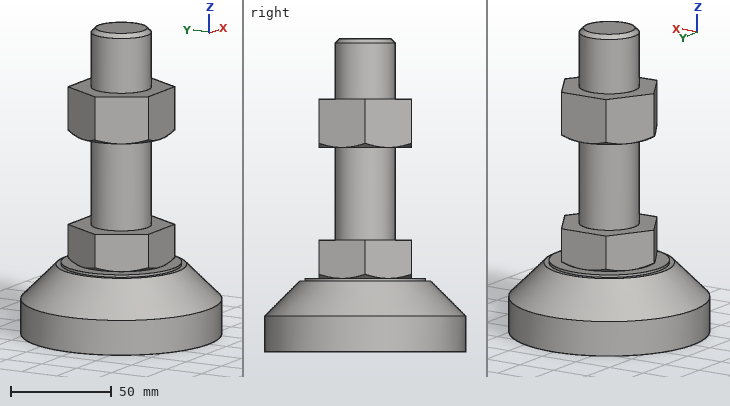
import cadquery as cq
import math


foot_radius = 50.0
foot_height = 35.25
rim_height = 17.75
cone_height = foot_height - rim_height
foot_top_radius = foot_radius - cone_height

collar_radius = 30.0
collar_height = 1.25
collar_top = foot_height + collar_height

width_across_flats = 45.95
width_across_corners = width_across_flats / math.cos(math.radians(30))
hex_chamfer_angle = 30.0
drive_hex_height = 19.0
drive_hex_top = collar_top + drive_hex_height

stud_radius = 15.0
stud_length = 100.0
stud_chamfer = 2.15
stud_top = drive_hex_top + stud_length

nut_height = 24.0
stud_above_nut = 30.0
nut_top = stud_top - stud_above_nut
nut_bottom = nut_top - nut_height


def hexagon(bottom, height):
    """Hexagonal prism with its lower corners turned off by a cone."""
    flat_radius = width_across_flats / 2
    corner_radius = width_across_corners / 2
    chamfer_height = (corner_radius - flat_radius) * math.tan(math.radians(hex_chamfer_angle))
    prism = cq.Workplane("XY").workplane(offset=bottom).polygon(6, width_across_corners).extrude(height)
    envelope = (
        cq.Workplane("XZ")
        .moveTo(0, bottom)
        .lineTo(flat_radius, bottom)
        .lineTo(corner_radius, bottom + chamfer_height)
        .lineTo(corner_radius, bottom + height)
        .lineTo(0, bottom + height)
        .close()
        .revolve(360, (0, 0, 0), (0, 1, 0))
    )
    return prism.intersect(envelope)


def make_foot():
    """Foot, collar and chamfered stud as one turned shape, joined with the drive hexagon."""
    turned = (
        cq.Workplane("XZ")
        .lineTo(foot_radius, 0)
        .lineTo(foot_radius, rim_height)
        .lineTo(foot_top_radius, foot_height)
        .lineTo(collar_radius, foot_height)
        .lineTo(collar_radius, collar_top)
        .lineTo(stud_radius, collar_top)
        .lineTo(stud_radius, stud_top - stud_chamfer)
        .lineTo(stud_radius - stud_chamfer, stud_top)
        .lineTo(0, stud_top)
        .close()
        .revolve(360, (0, 0, 0), (0, 1, 0))
    )
    return turned.union(hexagon(collar_top, drive_hex_height))


def make_lock_nut():
    """Hexagon nut with a plain bore that fits the stud."""
    bore = cq.Workplane("XY").workplane(offset=nut_bottom).circle(stud_radius).extrude(nut_height)
    return hexagon(nut_bottom, nut_height).cut(bore)


foot = make_foot()
lock_nut = make_lock_nut()

result = cq.Compound.makeCompound([foot.solids().val(), lock_nut.solids().val()])